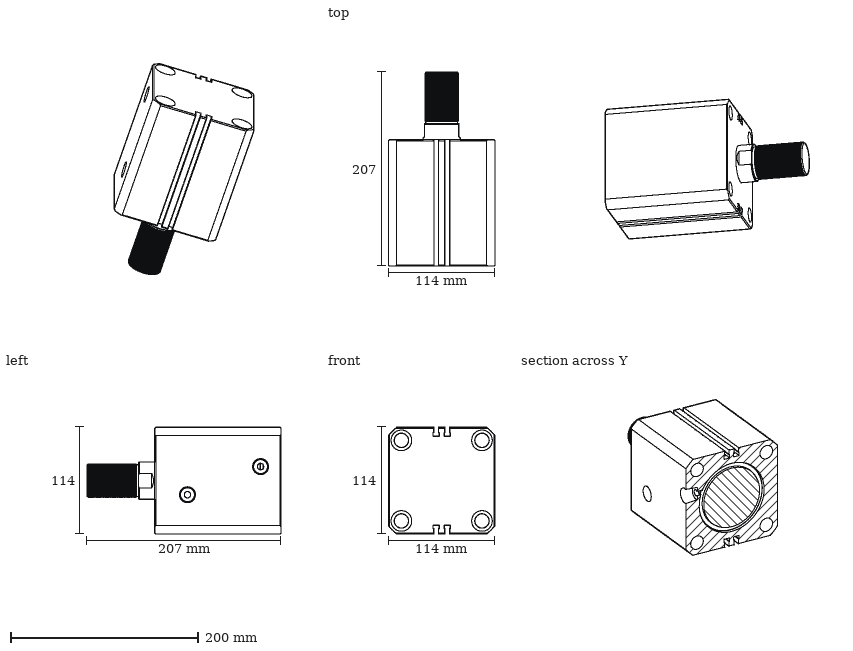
import cadquery as cq
import math

housing_width = 114.0
housing_half = housing_width / 2
housing_length = 135.0
corner_radius = 74.5
end_chamfer = 1.2

bolt_spacing = 86.0
bolt_hole_diameter = 15.0
counterbore_diameter = 22.0
counterbore_depth = 16.0

slot_offset = 5.94
slot_mouth_width = 5.0
slot_undercut_width = 6.3
slot_depth = 9.4
slot_undercut_height = 3.7

port_height = 15.0
rear_port = (22.0, port_height)
front_port = (housing_length - 35.0, -port_height)
port_mouth_diameter = 17.0
port_floor_diameter = 14.9
port_depth = 14.0
passage_diameter = 6.8

bore_diameter = 80.0
bore_start = 19.4
front_wall = 30.0
bore_end = housing_length - front_wall

hub_diameter = 70.0
hub_length = 2.8
piston_length = 25.0
piston_chamfer = 0.6
piston_front = bore_start + hub_length + piston_length

rod_diameter = 40.0
rod_radius = rod_diameter / 2
rod_stickout = 17.0
shoulder = housing_length + rod_stickout
shoulder_chamfer = 0.6

flat_width = 36.8
flat_half = flat_width / 2
flat_start = housing_length + 3.3
flat_runout = 2.0

thread_radius = 18.0
thread_pitch = 1.5
thread_root_radius = thread_radius - 0.92
thread_crest = thread_pitch / 8
thread_root = thread_pitch / 4
thread_flank = (thread_pitch - thread_crest - thread_root) / 2
thread_length = 55.0
thread_relief = 2.6
thread_end_chamfer = 1.3
rod_end = shoulder + thread_length


def cylinder_along_y(diameter, start, end, x=0.0, z=0.0):
    """Cylinder parallel to Y between two Y places, centred on (x, z)."""
    plane = cq.Plane(origin=(x, start, z), xDir=(1, 0, 0), normal=(0, 1, 0))
    return cq.Workplane(plane).circle(diameter / 2).extrude(end - start)


def revolve_around_y(points):
    """Solid of revolution around Y from (radius, Y) points."""
    return cq.Workplane("XY").polyline(points).close().revolve(360, (0, 0, 0), (0, 1, 0))


def make_block():
    block = cq.Workplane("XY").box(housing_width, housing_length, housing_width)
    block = block.translate((0, housing_length / 2, 0))
    block = block.faces("<Y or >Y").edges().chamfer(end_chamfer)
    return block.intersect(cylinder_along_y(2 * corner_radius, 0, housing_length))


def make_bolt_hole(x, z):
    hole = cylinder_along_y(bolt_hole_diameter, 0, housing_length, x, z)
    return hole.union(cylinder_along_y(counterbore_diameter, 0, counterbore_depth, x, z))


def make_slot(x, side):
    """Undercut slot along the whole housing; side is +1 for the top and -1 for the bottom."""
    mouth_half = slot_mouth_width / 2
    undercut_half = slot_undercut_width / 2
    surface = side * housing_half
    floor = side * (housing_half - slot_depth)
    ledge = side * (housing_half - slot_depth + slot_undercut_height)
    outline = [
        (x - mouth_half, surface),
        (x - mouth_half, ledge),
        (x - undercut_half, ledge),
        (x - undercut_half, floor),
        (x + undercut_half, floor),
        (x + undercut_half, ledge),
        (x + mouth_half, ledge),
        (x + mouth_half, surface),
    ]
    return cq.Workplane("XZ").polyline(outline).close().extrude(-housing_length)


def make_port(y, z):
    """Tapered port and its passage, which just breaks through the bore wall."""
    bore_wall_x = math.sqrt((bore_diameter / 2) ** 2 - (abs(z) + passage_diameter / 2) ** 2)
    passage_end = housing_half - bore_wall_x
    outline = [
        (0, 0),
        (0, port_mouth_diameter / 2),
        (port_depth, port_floor_diameter / 2),
        (port_depth, passage_diameter / 2),
        (passage_end, passage_diameter / 2),
        (passage_end, 0),
    ]
    port = cq.Workplane("XY").polyline(outline).close().revolve(360, (0, 0, 0), (1, 0, 0))
    return port.translate((-housing_half, y, z))


def make_housing():
    body = make_block()
    for side_x in (-1, 1):
        for side_z in (-1, 1):
            body = body.cut(make_bolt_hole(side_x * bolt_spacing / 2, side_z * bolt_spacing / 2))
            body = body.cut(make_slot(side_x * slot_offset, side_z))
    body = body.cut(cylinder_along_y(bore_diameter, bore_start, bore_end))
    body = body.cut(cylinder_along_y(rod_diameter, bore_end, housing_length))
    for y, z in (front_port, rear_port):
        body = body.cut(make_port(y, z))
    return body


def make_piston():
    step = bore_start + hub_length
    radius = bore_diameter / 2
    return revolve_around_y([
        (0, bore_start),
        (hub_diameter / 2, bore_start),
        (hub_diameter / 2, step),
        (radius - piston_chamfer, step),
        (radius, step + piston_chamfer),
        (radius, piston_front),
        (0, piston_front),
    ])


def make_rod_profile():
    points = [
        (0, piston_front),
        (rod_radius, piston_front),
        (rod_radius, shoulder - shoulder_chamfer),
        (rod_radius - shoulder_chamfer, shoulder),
        (thread_root_radius, shoulder),
    ]
    first_ridge = shoulder + thread_relief
    ridge_room = rod_end - thread_end_chamfer - first_ridge
    for ridge in range(int(ridge_room / thread_pitch)):
        ridge_start = first_ridge + ridge * thread_pitch
        crest_start = ridge_start + thread_flank
        crest_end = crest_start + thread_crest
        points.append((thread_root_radius, ridge_start))
        points.append((thread_radius, crest_start))
        points.append((thread_radius, crest_end))
        points.append((thread_root_radius, crest_end + thread_flank))
    points.append((thread_radius, rod_end - thread_end_chamfer))
    points.append((thread_radius - thread_end_chamfer, rod_end))
    points.append((0, rod_end))
    return points


def make_flat_cut(side):
    """Material beyond one wrench flat, with a sloped runout toward the housing."""
    outline = [
        (side * flat_half, shoulder),
        (side * flat_half, flat_start),
        (side * rod_radius, flat_start - flat_runout),
        (side * rod_radius, shoulder),
    ]
    return cq.Workplane("XY").polyline(outline).close().extrude(rod_radius, both=True)


def make_rod():
    rod = revolve_around_y(make_rod_profile())
    for side in (-1, 1):
        rod = rod.cut(make_flat_cut(side))
    return rod


housing = make_housing()
piston = make_piston()
rod = make_rod()

result = cq.Compound.makeCompound([housing.val(), piston.val(), rod.val()])